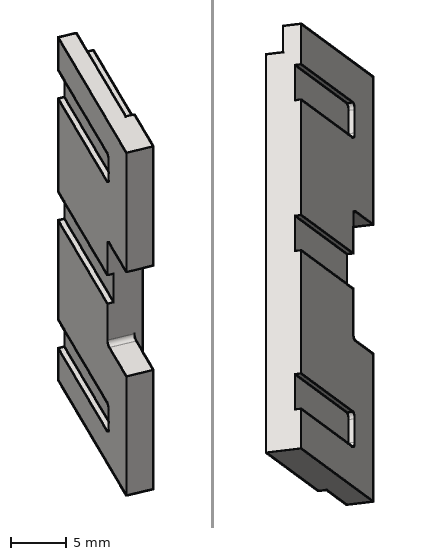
import cadquery as cq

width = 17.5
height = 40.1
full_depth = 3.4
corner_radius = 0.5

pad_width = 12.65
plate_depth = 2.6
ledge_depth = 1.75
ledge_height = 2.5

notch_height = 12.2
notch_center = height / 2

groove_height = 3.33
groove_depth = 0.6
blind_groove_length = 12.95
end_arc_radius = 0.6
end_arc_overshoot = 0.05
top_groove_center = 34.6
middle_groove_center = 20.37
bottom_groove_center = 5.4


def box(x_range, y_range, z_range):
    """Axis-aligned box spanning the given (start, end) ranges."""
    (x0, x1), (y0, y1), (z0, z1) = x_range, y_range, z_range
    return cq.Workplane("XY").box(x1 - x0, y1 - y0, z1 - z0, centered=False).translate((x0, y0, z0))


def groove(center, length, clear_height=groove_height):
    """Square-ended groove cutter starting at the left edge."""
    half_height = clear_height / 2
    return box((0, length), (0, groove_depth), (center - half_height, center + half_height))


def blind_groove(center):
    """Groove cutter whose end corners are arcs that meet the long sides at a slight angle."""
    rounded_height = groove_height + 2 * end_arc_overshoot
    rounded = groove(center, blind_groove_length, rounded_height).edges("|Y and >X").fillet(end_arc_radius)
    return rounded.intersect(groove(center, blind_groove_length))


plate = box((0, width), (0, plate_depth), (0, height))
ledge = box((0, pad_width), (ledge_depth, plate_depth), (height - ledge_height, height))
plate = plate.cut(ledge.edges("|Y and >X and <Z").fillet(corner_radius))

pad = box((0, pad_width), (ledge_depth, full_depth), (0, height - ledge_height))
body = plate.union(pad)

notch = box(
    (pad_width, width),
    (0, full_depth),
    (notch_center - notch_height / 2, notch_center + notch_height / 2),
)
body = body.cut(notch.edges("|Y and <X").fillet(corner_radius))

body = body.cut(groove(middle_groove_center, pad_width))
for groove_center in (bottom_groove_center, top_groove_center):
    body = body.cut(blind_groove(groove_center))

result = body